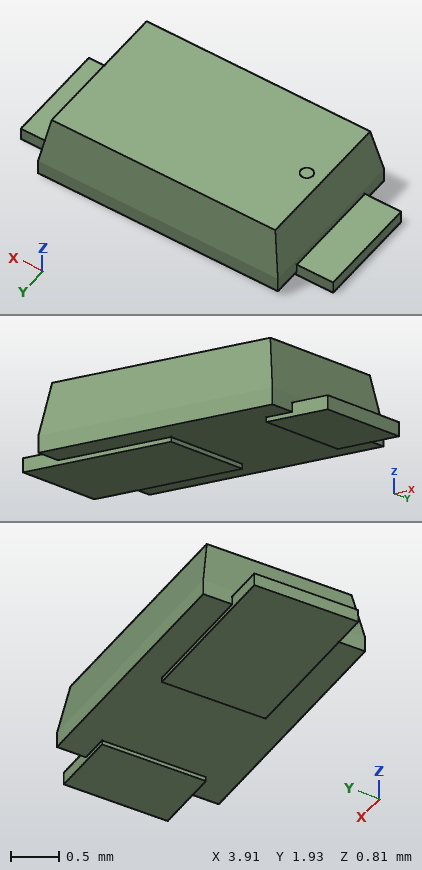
import cadquery as cq

overall_length = 3.91
overall_height = 0.81

housing_length = 3.003
housing_width = 1.93
housing_bottom = 0.05
band_top = 0.235
cap_inset = 0.1

lead_width = 1.24
lead_thickness = 0.152
long_lead_length = 1.9
short_lead_length = 0.785

mark_diameter = 0.15
mark_depth = 0.02
mark_x = -1.2


def make_lead(length, start_x):
    """Flat lead running in +X from start_x."""
    return cq.Workplane("XY").box(
        length, lead_width, lead_thickness, centered=(False, True, False)
    ).translate((start_x, 0, 0))


def make_polarity_mark():
    """Thin disc whose upper face is level with the top of the housing."""
    return (
        cq.Workplane("XY", origin=(mark_x, 0, overall_height - mark_depth))
        .circle(mark_diameter / 2)
        .extrude(mark_depth)
    )


def make_housing(inserts):
    """Housing with a matching recess for each inserted body."""
    band = (
        cq.Workplane("XY", origin=(0, 0, housing_bottom))
        .rect(housing_length, housing_width)
        .extrude(band_top - housing_bottom)
    )
    cap = (
        cq.Workplane("XY", origin=(0, 0, band_top))
        .rect(housing_length, housing_width)
        .workplane(offset=overall_height - band_top)
        .rect(housing_length - 2 * cap_inset, housing_width - 2 * cap_inset)
        .loft(ruled=True)
    )
    housing = band.union(cap)
    for insert in inserts:
        housing = housing.cut(insert)
    return housing.solids()


long_lead = make_lead(long_lead_length, -overall_length / 2)
short_lead = make_lead(short_lead_length, overall_length / 2 - short_lead_length)
polarity_mark = make_polarity_mark()
housing = make_housing([long_lead, short_lead, polarity_mark])

result = cq.Compound.makeCompound(
    [housing.val(), long_lead.val(), short_lead.val(), polarity_mark.val()]
)